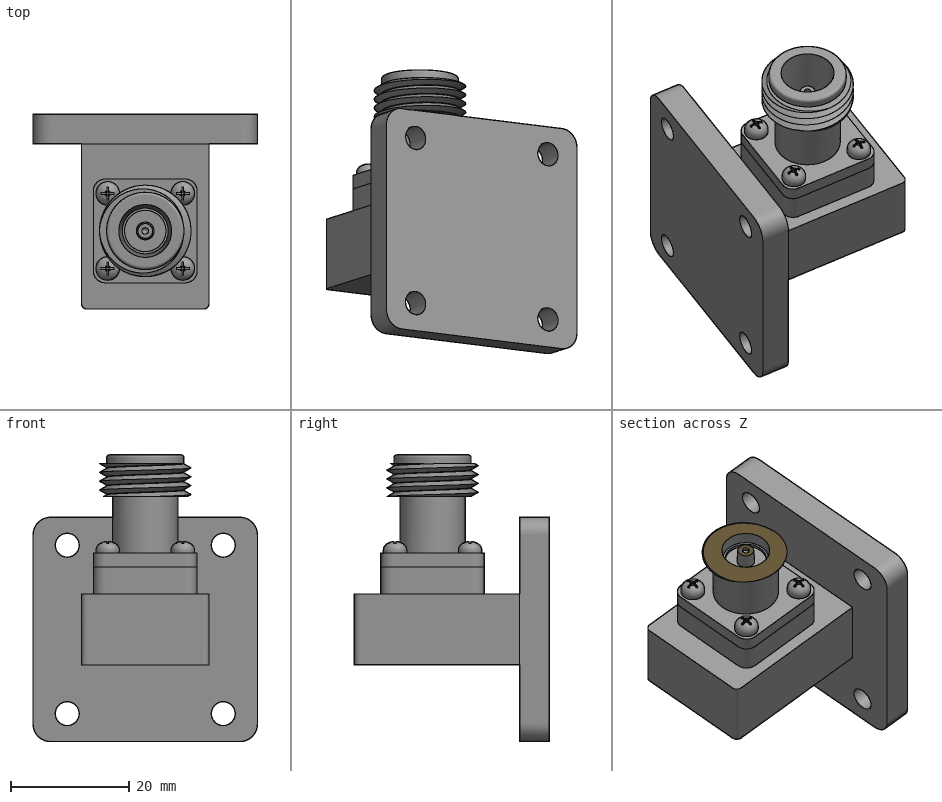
import cadquery as cq
import math


flange_size = 38.0
flange_thickness = 5.0
flange_corner_radius = 3.0
flange_hole_diameter = 4.0
flange_hole_pitch_x = 26.4
flange_hole_pitch_z = 28.5

block_width = 21.65
block_height = 12.0
block_length = 28.0
block_corner_radius = 1.0

pedestal_size = 17.55
pedestal_corner_radius = 2.0
pedestal_height = 4.55

jack_y = -14.75
plate_thickness = 2.35
barrel_diameter = 11.1
rim_diameter = 13.1
rim_fillet = 0.5
jack_top_z = 29.56

thread_diameter = 15.5
thread_pitch = 1.5
thread_length = 5.6
rim_above_thread = 1.48
crest_drop = thread_pitch / 2
thread_base_share = 0.97
thread_root_overlap = 0.05

bore_mouth_diameter = 8.94
bore_floor_diameter = 7.75
bore_depth = 9.0
recess_diameter = 7.0
recess_depth = 0.5

contact_base_diameter = 3.0
contact_tip_diameter = 2.5
contact_length = 5.0
contact_hole_diameter = 1.1
contact_hole_depth = 3.0
contact_hole_tip_angle = 118.0

screw_pitch = 12.7
screw_head_diameter = 4.0
screw_head_height = 2.0
screw_rim_height = 0.5
cross_length = 2.2
cross_width = 0.3
cross_depth = 0.35
cross_pit_diameter = 1.0
cross_pit_depth = 0.7

block_top_z = block_height / 2
pedestal_top_z = block_top_z + pedestal_height
plate_top_z = pedestal_top_z + plate_thickness
thread_top_z = jack_top_z - rim_above_thread
thread_bottom_z = thread_top_z - thread_length


def jack_plane(z):
    """Horizontal workplane on the jack's axis at height z."""
    return cq.Workplane("XY", origin=(0, jack_y, z))


def rounded_square(bottom_z, height):
    """Square slab with rounded corners, the outline shared by the pedestal and the jack's plate."""
    slab = jack_plane(bottom_z).rect(pedestal_size, pedestal_size).extrude(height)
    return slab.edges("|Z").fillet(pedestal_corner_radius)


def make_housing():
    flange = (
        cq.Workplane("XZ")
        .rect(flange_size, flange_size)
        .extrude(-flange_thickness)
        .edges("|Y")
        .fillet(flange_corner_radius)
    )
    flange_holes = (
        cq.Workplane("XZ")
        .rect(flange_hole_pitch_x, flange_hole_pitch_z, forConstruction=True)
        .vertices()
        .circle(flange_hole_diameter / 2)
        .extrude(-flange_thickness)
    )
    block = (
        cq.Workplane("XZ")
        .rect(block_width, block_height)
        .extrude(block_length)
        .edges("|Z and <Y")
        .fillet(block_corner_radius)
    )
    pedestal = rounded_square(block_top_z, pedestal_height)
    return flange.cut(flange_holes).union(block).union(pedestal)


def make_thread():
    """Sharp V ridge wound right-handed around the rim's core, trimmed flat at both ends."""
    core_radius = rim_diameter / 2
    crest_radius = thread_diameter / 2
    half_base = thread_base_share * thread_pitch / 2
    root_radius = core_radius - thread_root_overlap

    turns = math.ceil(thread_length / thread_pitch) + 1
    helix_start_z = thread_top_z + crest_drop - turns * thread_pitch
    helix_height = (turns + 1) * thread_pitch
    helix = cq.Wire.makeHelix(thread_pitch, helix_height, core_radius)
    ridge = (
        cq.Workplane("XZ")
        .polyline([
            (root_radius, -half_base),
            (crest_radius, 0),
            (root_radius, half_base),
        ])
        .close()
        .sweep(cq.Workplane(obj=helix), isFrenet=True)
        .translate((0, jack_y, helix_start_z))
    )
    envelope = jack_plane(thread_bottom_z).circle(thread_diameter).extrude(thread_length)
    return ridge.intersect(envelope)


def make_bore():
    """Tapered socket with a shallow recess in its floor, open at the jack's top."""
    mouth_radius = bore_mouth_diameter / 2
    floor_radius = bore_floor_diameter / 2
    recess_radius = recess_diameter / 2
    return (
        cq.Workplane("XZ", origin=(0, jack_y, jack_top_z))
        .polyline([
            (0, 0),
            (mouth_radius, 0),
            (floor_radius, -bore_depth),
            (recess_radius, -bore_depth),
            (recess_radius, -bore_depth - recess_depth),
            (0, -bore_depth - recess_depth),
        ])
        .close()
        .revolve(360, (0, 0), (0, 1))
    )


def make_contact():
    """Tapered centre contact with a drilled hole, standing on the recess floor."""
    hole_radius = contact_hole_diameter / 2
    drill_tip = hole_radius / math.tan(math.radians(contact_hole_tip_angle / 2))
    base_z = jack_top_z - bore_depth - recess_depth
    return (
        cq.Workplane("XZ", origin=(0, jack_y, base_z))
        .polyline([
            (0, 0),
            (contact_base_diameter / 2, 0),
            (contact_tip_diameter / 2, contact_length),
            (hole_radius, contact_length),
            (hole_radius, contact_length - contact_hole_depth),
            (0, contact_length - contact_hole_depth - drill_tip),
        ])
        .close()
        .revolve(360, (0, 0), (0, 1))
    )


def make_screw_head():
    """Domed head with a cross recess, standing on the XY plane."""
    head_radius = screw_head_diameter / 2
    dome_height = screw_head_height - screw_rim_height
    head = (
        cq.Workplane("XZ")
        .lineTo(head_radius, 0)
        .lineTo(head_radius, screw_rim_height)
        .ellipseArc(head_radius, dome_height, 0, 90, startAtCurrent=True)
        .close()
        .revolve(360, (0, 0), (0, 1))
    )
    top = cq.Workplane("XY", origin=(0, 0, screw_head_height))
    slot_x = top.rect(cross_length, cross_width).extrude(-cross_depth)
    slot_y = top.rect(cross_width, cross_length).extrude(-cross_depth)
    pit = cq.Workplane(obj=cq.Solid.makeCone(
        cross_pit_diameter / 2, 0, cross_pit_depth,
        pnt=cq.Vector(0, 0, screw_head_height), dir=cq.Vector(0, 0, -1),
    ))
    return head.cut(slot_x).cut(slot_y).cut(pit)


def make_jack():
    plate = rounded_square(pedestal_top_z, plate_thickness)
    barrel = jack_plane(plate_top_z).circle(barrel_diameter / 2).extrude(thread_bottom_z - plate_top_z)
    rim = (
        jack_plane(thread_bottom_z)
        .circle(rim_diameter / 2)
        .extrude(jack_top_z - thread_bottom_z)
        .faces(">Z")
        .edges()
        .fillet(rim_fillet)
    )
    jack = rim.union(make_thread()).union(barrel).cut(make_bore()).union(make_contact()).union(plate)

    screw_head = make_screw_head()
    for side_x in (-1, 1):
        for side_y in (-1, 1):
            screw_x = side_x * screw_pitch / 2
            screw_y = jack_y + side_y * screw_pitch / 2
            jack = jack.union(screw_head.translate((screw_x, screw_y, plate_top_z)))
    return jack


housing = make_housing()
jack = make_jack()

result = cq.Compound.makeCompound([housing.solids().val(), jack.solids().val()])